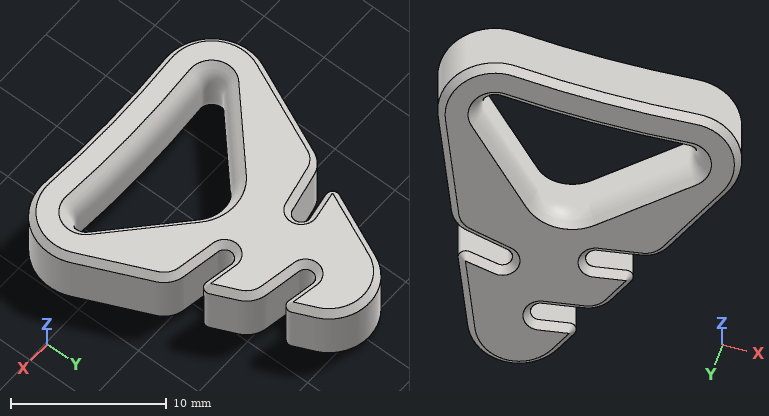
import cadquery as cq
import math

length = 22.08
width = 20.23
thickness = 5.0
edge_chamfer = 0.49

top_radius = 3.35
corner_radius = 3.7
bottom_arc_radius = 81.7
top_center = (0, length - top_radius)
corner_center = (width / 2 - corner_radius, corner_radius)

strap_bar = 2.95
opening_top_radius = 2.43
opening_top_center = (0, 7.42)
opening_chamfer = 1.0
opening_blend_radius = 1.99
flare_overlap = 0.22

notch_radius = 0.65
notch_drop = 10.0
left_lower_drop = 12.0
notches = [
    ((1.1, 17.66), 1, notch_drop, notch_drop),
    ((3.25, 12.67), 1, notch_drop, notch_drop),
    ((-2.52, 14.35), -1, notch_drop, left_lower_drop),
]
notch_reach = 8.83
mouth_depth = 2.87
tip_radius = 0.5
shoulder_radius = 1.99


def on_circle(center, radius, angle):
    """Point on a circle, with the angle in radians from +X."""
    return (center[0] + radius * math.cos(angle), center[1] + radius * math.sin(angle))


def mirrored(point):
    return (-point[0], point[1])


def rounded_triangle(upper_center, upper_radius, lower_center, lower_radius, bow_radius):
    """Symmetric triangle with rounded corners and an upward-bowed lower edge, as a closed outline."""
    run = lower_center[0] - upper_center[0]
    drop = upper_center[1] - lower_center[1]
    side_normal = math.atan2(run, drop)
    side_normal -= math.asin((upper_radius - lower_radius) / math.hypot(run, drop))
    bow_rise = math.sqrt((bow_radius + lower_radius) ** 2 - run**2)
    bow_center = (0, lower_center[1] - bow_rise)
    bow_normal = math.atan2(-bow_rise, -run)

    upper_tangent = on_circle(upper_center, upper_radius, side_normal)
    side_tangent = on_circle(lower_center, lower_radius, side_normal)
    corner_middle = on_circle(lower_center, lower_radius, (side_normal + bow_normal) / 2)
    bow_tangent = on_circle(lower_center, lower_radius, bow_normal)
    return (
        cq.Workplane("XY")
        .moveTo(*mirrored(upper_tangent))
        .threePointArc(on_circle(upper_center, upper_radius, math.pi / 2), upper_tangent)
        .lineTo(*side_tangent)
        .threePointArc(corner_middle, bow_tangent)
        .threePointArc(on_circle(bow_center, bow_radius, math.pi / 2), mirrored(bow_tangent))
        .threePointArc(mirrored(corner_middle), mirrored(side_tangent))
        .close()
    )


def notch_cutter(center, side, upper_drop, lower_drop):
    """Round-ended notch that opens outward and slightly downward."""

    def flank(normal_sign, drop):
        angle = math.radians(drop)
        normal = (normal_sign * side * math.sin(angle), normal_sign * math.cos(angle))
        start = (center[0] + notch_radius * normal[0], center[1] + notch_radius * normal[1])
        end = (
            start[0] + side * notch_reach * math.cos(angle),
            start[1] - notch_reach * math.sin(angle),
        )
        return start, end

    upper_start, upper_end = flank(1, upper_drop)
    lower_start, lower_end = flank(-1, lower_drop)
    closed_end = (
        center[0] - side * notch_radius * math.cos(math.radians(upper_drop)),
        center[1] + notch_radius * math.sin(math.radians(upper_drop)),
    )
    return (
        cq.Workplane("XY")
        .moveTo(*upper_end)
        .lineTo(*upper_start)
        .threePointArc(closed_end, lower_start)
        .lineTo(*lower_end)
        .close()
        .extrude(thickness)
    )


def notch_mouth_edges(plate, center, side):
    """Upright edges where the notch flanks meet the plate side: (lower one, upper one)."""
    mouth_box = cq.selectors.BoxSelector(
        (center[0] + side * 2 * notch_radius, center[1] - mouth_depth, 0),
        (center[0] + side * notch_reach, center[1] + notch_radius, thickness),
    )
    edges = plate.edges("|Z").edges(mouth_box).vals()
    return sorted(edges, key=lambda edge: edge.Center().y)


def flare_cutter(outline, lower_edge_y):
    """Chamfer around the opening on the lower face, blended by an arc into the opening wall.

    Its section is drawn where the lower edge of the opening crosses X = 0, then swept around.
    """
    chamfer_angle = math.radians(45)
    half_turn = chamfer_angle / 2
    blend_tangent = opening_blend_radius * math.tan(half_turn)
    blend_top = opening_chamfer + blend_tangent
    blend_start = blend_tangent * math.sin(chamfer_angle)
    blend_middle = (
        lower_edge_y - opening_blend_radius * (1 - math.cos(half_turn)),
        blend_top - opening_blend_radius * math.sin(half_turn),
    )
    section = (
        cq.Workplane("YZ")
        .moveTo(lower_edge_y - opening_chamfer, 0)
        .lineTo(lower_edge_y - blend_start, opening_chamfer - blend_start)
        .threePointArc(blend_middle, (lower_edge_y, blend_top))
        .lineTo(lower_edge_y + flare_overlap, blend_top)
        .lineTo(lower_edge_y + flare_overlap, 0)
        .close()
    )
    return section.sweep(outline, transition="round")


outline = rounded_triangle(top_center, top_radius, corner_center, corner_radius, bottom_arc_radius)
plate = outline.extrude(thickness)
for notch in notches:
    plate = plate.cut(notch_cutter(*notch))

for center, side, _, _ in notches:
    tip = notch_mouth_edges(plate, center, side)[-1]
    plate = plate.newObject([tip]).fillet(tip_radius)
    shoulder = notch_mouth_edges(plate, center, side)[0]
    plate = plate.newObject([shoulder]).fillet(shoulder_radius)
plate = plate.faces("<Z or >Z").chamfer(edge_chamfer)

opening_outline = rounded_triangle(
    opening_top_center,
    opening_top_radius,
    corner_center,
    corner_radius - strap_bar,
    bottom_arc_radius + strap_bar,
)
opening = opening_outline.extrude(thickness)
opening_lower_edge = opening.faces("<Z").edges(cq.selectors.NearestToPointSelector((0, 0, 0)))
lower_flare = flare_cutter(opening_outline, opening_lower_edge.val().positionAt(0.5).y)
upper_flare = lower_flare.mirror("XY", (0, 0, thickness / 2))
result = plate.cut(opening).cut(lower_flare).cut(upper_flare).solids()